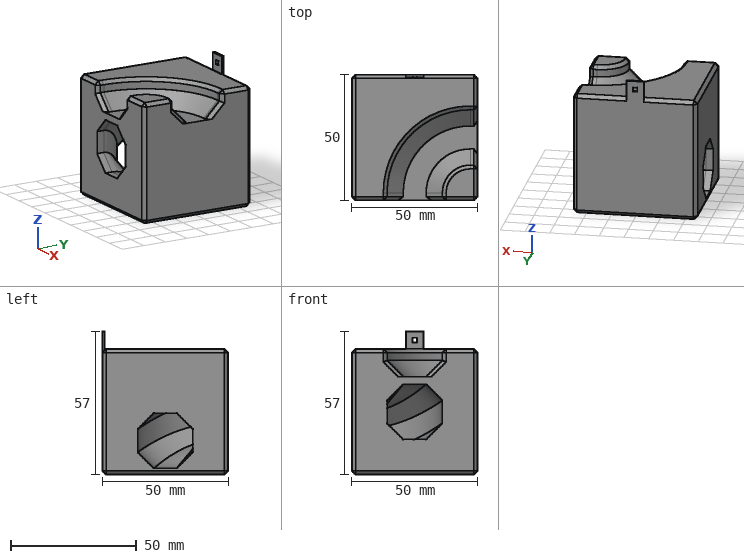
import cadquery as cq
import math

block_size = 50.0
edge_chamfer = 1.5
mid = block_size / 2

octagon_width = 22.0
octagon_apothem = octagon_width / 2
half_flat_ratio = math.tan(math.pi / 8)
stub_length = 3.0
bend_radius = mid - stub_length
cutter_overrun = 1.0

channel_center_z = 50.0
tunnel_high_z = 25.0
tunnel_low_z = 13.5
tunnel_drop = tunnel_high_z - tunnel_low_z
tunnel_steps = 6

channel_floor_z = channel_center_z - octagon_apothem
mouth_flare = 1.5
rim_chamfer = 1.5

tab_width = 7.0
tab_height = 7.0
tab_thickness = 1.0
tab_hole_size = 1.75


def make_block():
    """Cube standing on Z = 0 with one corner at the origin and all edges chamfered."""
    return cq.Workplane("XY").box(block_size, block_size, block_size, centered=False).edges().chamfer(edge_chamfer)


def octagon_points(center_u, center_v):
    """Corners of the passage octagon, counter-clockwise."""
    apothem = octagon_apothem
    half_flat = apothem * half_flat_ratio
    corners = [
        (apothem, -half_flat),
        (apothem, half_flat),
        (half_flat, apothem),
        (-half_flat, apothem),
        (-apothem, half_flat),
        (-apothem, -half_flat),
        (-half_flat, -apothem),
        (half_flat, -apothem),
    ]
    return [(center_u + u, center_v + v) for u, v in corners]


def channel_outline(offset):
    """Corners of the channel section grown by an offset, as (across, height) from its centreline.

    The floor stays at the same height whatever the offset.
    """
    half_width = octagon_apothem + offset
    half_flat = half_width * half_flat_ratio
    half_floor = half_flat + half_width - octagon_apothem
    top = block_size + cutter_overrun
    return [
        (half_floor, channel_floor_z),
        (half_width, channel_center_z - half_flat),
        (half_width, top),
        (-half_width, top),
        (-half_width, channel_center_z - half_flat),
        (-half_floor, channel_floor_z),
    ]


def rim_outline(offset):
    """Chamfer section along both upper edges of the channel, widened by an offset."""
    bottom_z = block_size - rim_chamfer
    lower = octagon_apothem + offset
    upper = lower + rim_chamfer + cutter_overrun
    top = block_size + cutter_overrun
    return [(lower, bottom_z), (upper, top), (-upper, top), (-lower, bottom_z)]


def sweep_level_bend(outline):
    """Carry a section from the -Y face round a level quarter bend to the +X face."""
    section = [(mid + u, z) for u, z in outline]
    entry = cq.Workplane("XZ").polyline(section).close().extrude(-stub_length)
    pivot = block_size - stub_length
    bend = (
        cq.Workplane("XZ", origin=(0, stub_length, 0))
        .polyline(section)
        .close()
        .revolve(90, (pivot, 0, 0), (pivot, -1, 0))
    )
    exit_stub = (
        cq.Workplane("YZ", origin=(pivot, 0, 0))
        .polyline(section)
        .close()
        .extrude(stub_length)
    )
    return entry.union(bend).union(exit_stub)


def make_mouth(plane, outline):
    """Flared end of a cut: the widened section on a face narrowing to the plain one inside."""
    wide = [(mid + u, z) for u, z in outline(mouth_flare)]
    narrow = [(mid + u, z) for u, z in outline(0)]
    return (
        cq.Workplane(plane)
        .polyline(wide)
        .close()
        .workplane(offset=mouth_flare)
        .polyline(narrow)
        .close()
        .loft(ruled=True)
    )


def cut_channel(body):
    """Cut the open channel into the top, with chamfered rims and flared mouths on -Y and +X."""
    front_plane = cq.Plane(origin=(block_size, 0, 0), xDir=(-1, 0, 0), normal=(0, 1, 0))
    side_plane = cq.Plane(origin=(block_size, block_size, 0), xDir=(0, -1, 0), normal=(-1, 0, 0))
    for outline in (channel_outline, rim_outline):
        body = body.cut(sweep_level_bend(outline(0)))
        for plane in (front_plane, side_plane):
            body = body.cut(make_mouth(plane, outline))
    return body


def tunnel_section(turn):
    """Octagon standing radially on the bend after a turn from 0 (front stub) to 1 (side stub)."""
    angle = turn * math.pi / 2
    outward = cq.Vector(math.cos(angle), math.sin(angle), 0)
    descent = tunnel_drop * (1 - math.cos(turn * math.pi)) / 2
    center = cq.Vector(stub_length, stub_length, tunnel_high_z - descent)
    profile = octagon_points(bend_radius, 0)
    corners = [center + outward * u + cq.Vector(0, 0, v) for u, v in profile]
    return cq.Wire.makePolygon(corners, close=True)


def make_tunnel():
    """Tunnel from the -Y face, winding down a quarter turn to the -X face."""
    front_section = octagon_points(mid, tunnel_high_z)
    entry = cq.Workplane("XZ").polyline(front_section).close().extrude(-stub_length)

    side_section = octagon_points(mid, tunnel_low_z)
    exit_stub = cq.Workplane("YZ").polyline(side_section).close().extrude(stub_length)

    sections = [tunnel_section(step / tunnel_steps) for step in range(tunnel_steps + 1)]
    bend = cq.Workplane(obj=cq.Solid.makeLoft(sections))
    return entry.union(bend).union(exit_stub)


def make_tab():
    """Thin tab flush with the +Y face, rising above the top, with a square hole."""
    root_z = block_size - edge_chamfer
    center_y = block_size - tab_thickness / 2
    tab = (
        cq.Workplane("XY", origin=(mid, center_y, root_z))
        .rect(tab_width, tab_thickness)
        .extrude(edge_chamfer + tab_height)
    )
    hole = cq.Workplane("XY").box(tab_hole_size, 2 * tab_thickness, tab_hole_size)
    return tab.cut(hole.translate((mid, center_y, block_size + tab_height / 2)))


result = cut_channel(make_block()).cut(make_tunnel()).union(make_tab())